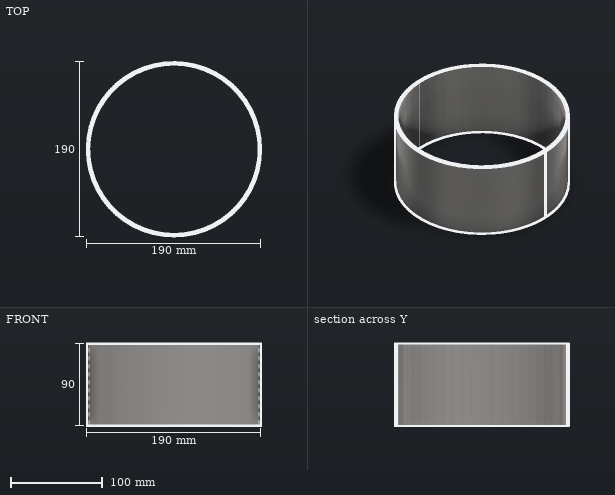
import cadquery as cq

outer_diameter = 190.0
wall = 2.5
height = 90.0
slit_width = 1.5
edge_chamfer = 0.5

outer_radius = outer_diameter / 2
inner_radius = outer_radius - wall


def make_ring():
    """Thin-walled ring centred on the origin, with its two outer rim edges chamfered."""
    drum = cq.Workplane("XY").cylinder(height, outer_radius)
    drum = drum.faces("<Z or >Z").edges().chamfer(edge_chamfer)
    bore = cq.Workplane("XY").cylinder(height, inner_radius)
    return drum.cut(bore)


def make_slit():
    """Full-height cutter through the -X wall, with one side on the plane Y = 0."""
    slit_length = 2 * wall
    slit_center_x = -(outer_radius - wall / 2)
    slit = cq.Workplane("XY").box(slit_length, slit_width, height)
    return slit.translate((slit_center_x, slit_width / 2, 0))


result = make_ring().cut(make_slit())